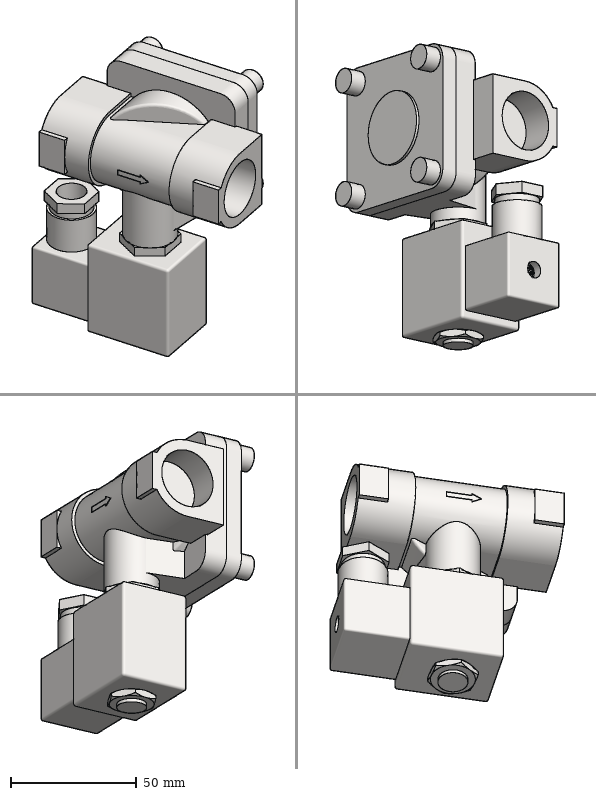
import cadquery as cq
import math


pipe_length = 84.0
hub_length = 23.1
hub_radius = 16.5
hub_back = 17.0
pipe_radius = 15.0
lug_length = 12.0
lug_height = 16.0
port_diameter = 24.2
port_depth = 14.1

overlap = 1.1

flange_size = 60.0
flange_corner_radius = 7.0
flange_front = 16.0
cover_front = 26.0
cover_back = 33.0
cover_disc_diameter = 30.2
cover_disc_height = 1.3
bolt_head_diameter = 10.1
bolt_head_height = 7.1
bolt_offset = 23.5

bowl_radius = 23.0
bowl_cut_centre = 5.0
bowl_cut_slope = 0.47
bowl_edge_radius = 1.1

stem_radius = 11.1
stem_bottom = -34.9
web_half_width = 14.1

arrow_tail = -6.0
arrow_tip = 8.4
arrow_head_length = 3.9
arrow_shaft_width = 2.3
arrow_head_width = 4.1
arrow_raise = 0.2

corners_front = 30

coil_left = -20.6
coil_right = 17.6
coil_top = -38.9
coil_bottom = -80.0
coil_depth = 30.0
coil_edge_radius = 1.1
collar_flats = 21.2
nut_flats = 18.0
nut_height = 3.0
nut_turn = 36.3
nut_chamfer_angle = 30
tube_end_diameter = 12.0
tube_end_bottom = -84.5

plug_left = -47.5
plug_top = -49.5
plug_bottom = -76.5
plug_depth = 26.8
plug_edge_radius = 0.9
gland_x = -36.9
gland_socket_diameter = 20.0
gland_socket_top = -34.5
gland_neck_diameter = 18.0
gland_nut_bottom = -31.6
gland_nut_top = -27.0
gland_nut_flats = 19.0
gland_bore_diameter = 12.3
screw_hole_diameter = 6.8
screw_hole_depth = 4.0
screw_head_diameter = 5.5
screw_head_height = 1.8
screw_slot_length = 3.0
screw_slot_width = 0.7
screw_slot_depth = 0.7
screw_slot_turn = 30


def hexagon(flats, bottom, height, turn):
    """Upright hexagonal prism on the Z axis; turn is the angle of one corner from +X."""
    corners_diameter = flats / math.cos(math.radians(30))
    prism = cq.Workplane("XY").polygon(6, corners_diameter).extrude(height)
    return prism.rotate((0, 0, 0), (0, 0, 1), turn).translate((0, 0, bottom))


def upright_cylinder(diameter, bottom, top):
    return cq.Workplane("XY").workplane(offset=bottom).circle(diameter / 2).extrude(top - bottom)


def along_y(start):
    """Sketch plane across the Y axis at the given Y, extruding toward +Y; local X is X, local Y is -Z."""
    return cq.Workplane(cq.Plane(origin=(0, start, 0), xDir=(1, 0, 0), normal=(0, 1, 0)))


def pipe_section(left, length, radius, back):
    """Length of pipe that is round in front and square behind."""
    return (
        cq.Workplane("YZ")
        .workplane(offset=left)
        .moveTo(back, radius)
        .lineTo(0, radius)
        .threePointArc((-radius, 0), (0, -radius))
        .lineTo(back, -radius)
        .close()
        .extrude(length)
    )


def make_pipe():
    half_length = pipe_length / 2
    pipe = pipe_section(-half_length, pipe_length, pipe_radius, flange_front)
    for left in (-half_length, half_length - hub_length):
        pipe = pipe.union(pipe_section(left, hub_length, hub_radius, hub_back))
    for left in (-half_length, half_length - lug_length):
        lug = cq.Workplane("XY").box(lug_length, hub_radius, lug_height, centered=(False, False, True))
        pipe = pipe.union(lug.translate((left, -hub_radius, 0)))
    return pipe


def make_bowl():
    """Round bowl opening toward the flange, keeping only what lies behind the slanted plane."""
    bowl = along_y(-bowl_radius).circle(bowl_radius).extrude(bowl_radius + cover_front)
    reach = 2 * bowl_radius
    rise = bowl_cut_slope * reach
    behind_cut = (
        cq.Workplane("XY")
        .workplane(offset=-reach)
        .polyline(
            [
                (-reach, bowl_cut_centre - rise),
                (reach, bowl_cut_centre + rise),
                (reach, reach + rise),
                (-reach, reach + rise),
            ]
        )
        .close()
        .extrude(2 * reach)
    )
    return bowl.intersect(behind_cut).faces("<Y").edges().fillet(bowl_edge_radius)


def square_plate(front, back):
    plate = along_y(front).rect(flange_size, flange_size).extrude(back - front)
    return plate.edges("|Y").fillet(flange_corner_radius)


def make_cover():
    """Cover plate with its centre disc and four bolt heads, lying flush on the flange."""
    plate = square_plate(cover_front, cover_back)
    disc = along_y(cover_back).circle(cover_disc_diameter / 2).extrude(cover_disc_height)
    bolts = (
        along_y(cover_back)
        .rect(2 * bolt_offset, 2 * bolt_offset, forConstruction=True)
        .vertices()
        .circle(bolt_head_diameter / 2)
        .extrude(bolt_head_height)
    )
    return plate.union(disc).union(bolts)


def make_stem():
    """Stem below the pipe and the widening web that ties it to the flange."""
    stem = upright_cylinder(2 * stem_radius, stem_bottom, 0)
    web = (
        cq.Workplane("XY")
        .workplane(offset=-flange_size / 2)
        .polyline(
            [
                (-stem_radius, 0),
                (stem_radius, 0),
                (web_half_width, flange_front),
                (-web_half_width, flange_front),
            ]
        )
        .close()
        .extrude(flange_size / 2)
    )
    return stem.union(web)


def make_arrow():
    neck = arrow_tip - arrow_head_length
    half_shaft = arrow_shaft_width / 2
    half_head = arrow_head_width / 2
    outline = (
        along_y(-hub_radius)
        .polyline(
            [
                (arrow_tail, -half_shaft),
                (neck, -half_shaft),
                (neck, -half_head),
                (arrow_tip, 0),
                (neck, half_head),
                (neck, half_shaft),
                (arrow_tail, half_shaft),
            ]
        )
        .close()
        .extrude(hub_radius)
    )
    raised_skin = cq.Workplane("YZ").circle(pipe_radius + arrow_raise).extrude(pipe_length / 2, both=True)
    return outline.intersect(raised_skin)


def make_valve():
    """Pipe, bowl, flange, stem and arrow, with a blind port in each pipe end."""
    valve = make_pipe().union(make_bowl()).union(square_plate(flange_front, cover_front))
    valve = valve.union(make_stem()).union(make_arrow())
    for side in (-1, 1):
        end = cq.Plane(origin=(side * pipe_length / 2, 0, 0), xDir=(0, 1, 0), normal=(-side, 0, 0))
        valve = valve.cut(cq.Workplane(end).circle(port_diameter / 2).extrude(port_depth))
    return valve


def make_coil_nut():
    """Hex nut under the coil with the corners of both faces turned off."""
    bottom = coil_bottom - nut_height
    nut = hexagon(nut_flats, bottom, nut_height, nut_turn)
    reach = nut_flats
    rise = (reach - nut_flats / 2) * math.tan(math.radians(nut_chamfer_angle))
    envelope = (
        cq.Workplane("XZ")
        .polyline(
            [
                (0, bottom),
                (nut_flats / 2, bottom),
                (reach, bottom + rise),
                (reach, bottom + nut_height - rise),
                (nut_flats / 2, bottom + nut_height),
                (0, bottom + nut_height),
            ]
        )
        .close()
        .revolve(360, (0, 0, 0), (0, 1, 0))
    )
    return nut.intersect(envelope)


def make_coil():
    """Rounded coil block with the hex collar above it and the nut and tube end below it."""
    width = coil_right - coil_left
    height = coil_top - coil_bottom
    block = cq.Workplane("XY").box(width, coil_depth, height, centered=(False, True, False))
    block = block.edges().fillet(coil_edge_radius).translate((coil_left, 0, coil_bottom))
    collar = hexagon(collar_flats, coil_top - overlap, stem_bottom - coil_top + overlap, corners_front)
    tube_end = upright_cylinder(tube_end_diameter, tube_end_bottom, coil_bottom)
    return block.union(collar).union(make_coil_nut()).union(tube_end)


def make_gland():
    socket = upright_cylinder(gland_socket_diameter, plug_top - overlap, gland_socket_top)
    neck = upright_cylinder(gland_neck_diameter, gland_socket_top, gland_nut_bottom)
    nut = hexagon(gland_nut_flats, gland_nut_bottom, gland_nut_top - gland_nut_bottom, corners_front)
    bore = upright_cylinder(gland_bore_diameter, plug_top, gland_nut_top)
    return socket.union(neck).union(nut).cut(bore).translate((gland_x, 0, 0))


def make_connector():
    """Plug block on the left of the coil, with a sunken domed screw and a cable gland."""
    width = coil_left - plug_left
    height = plug_top - plug_bottom
    block = cq.Workplane("XY").box(width, plug_depth, height, centered=(False, True, False))
    block = block.edges("not >X").fillet(plug_edge_radius).translate((plug_left, 0, plug_bottom))

    screw_z = (plug_top + plug_bottom) / 2
    floor_x = plug_left + screw_hole_depth
    floor = cq.Workplane(cq.Plane(origin=(floor_x, 0, screw_z), xDir=(0, 1, 0), normal=(-1, 0, 0)))
    hole = floor.circle(screw_hole_diameter / 2).extrude(screw_hole_depth)

    head_radius = screw_head_diameter / 2
    ball_radius = (head_radius**2 + screw_head_height**2) / (2 * screw_head_height)
    head = floor.circle(head_radius).extrude(screw_head_height)
    ball_x = floor_x - screw_head_height + ball_radius
    head = head.intersect(cq.Workplane("XY").sphere(ball_radius).translate((ball_x, 0, screw_z)))
    for turn in (screw_slot_turn, screw_slot_turn + 90):
        slot = (
            floor.workplane(offset=screw_head_height - screw_slot_depth)
            .transformed(rotate=(0, 0, turn))
            .rect(screw_slot_length, screw_slot_width)
            .extrude(screw_head_height)
        )
        head = head.cut(slot)
    return block.cut(hole).union(head).union(make_gland())


def make_solenoid():
    return make_coil().union(make_connector())


valve = make_valve()
cover = make_cover()
solenoid = make_solenoid()

result = cq.Compound.makeCompound([valve.val(), cover.val(), solenoid.val()])